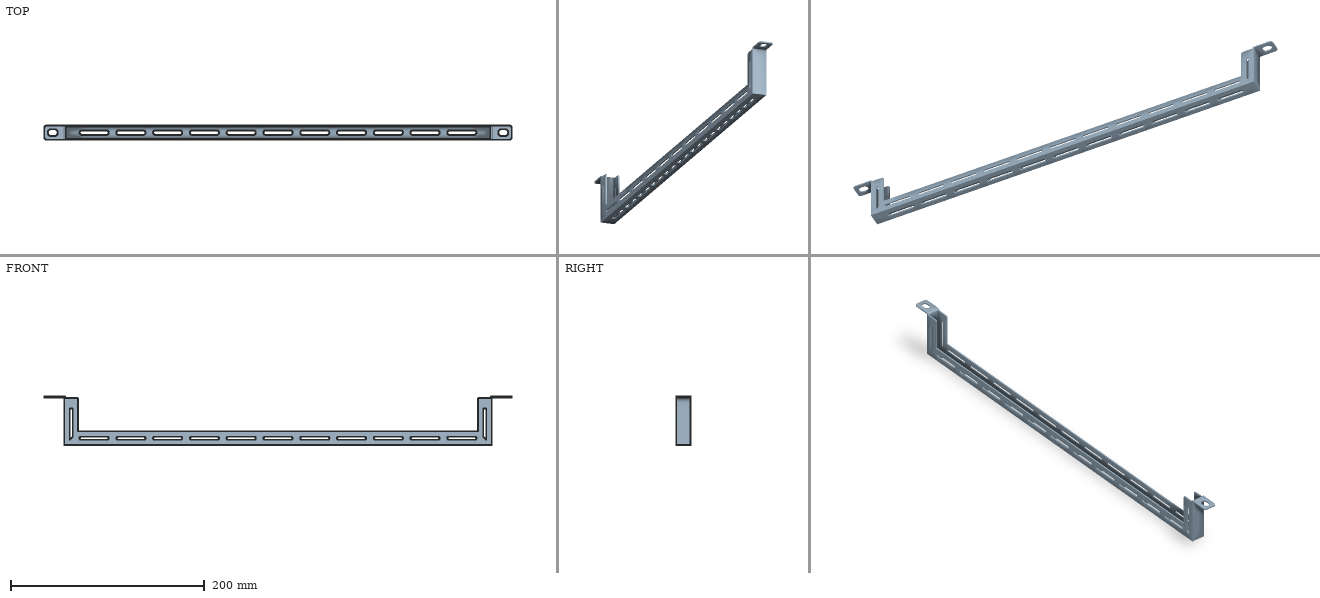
import cadquery as cq
import math

total_length = 483.0
total_height = 50.5
channel_width = 15.0
sheet = 1.5

frame_length = 441.5
channel_depth = 14.5
bend_radius = 0.5
flange_drop = 2.0
flange_corner_radius = 1.5

slot_count = 11
slot_row_span = 379.5
slot_length = 30.0
side_slot_width = 3.0
floor_slot_width = 4.5
upright_slot_top = 38.0
upright_slot_length = 34.0

tab_corner_radius = 3.0
tab_hole_spacing = 465.0
tab_hole_length = 10.0
tab_hole_width = 7.0

slot_pitch = slot_row_span / (slot_count - 1)
side_slot_offset = channel_depth / 2
half_frame = frame_length / 2
half_total = total_length / 2
inner_width = channel_width - 2 * sheet
inner_half = half_frame - channel_depth
flange_top = total_height - flange_drop
bend_outer_radius = bend_radius + sheet
bend_bottom = total_height - bend_outer_radius
ends = (-1, 1)
diagonal = math.sqrt(0.5)


def block(x_min, x_max, z_min, z_max, width):
    """Box between two X and two Z limits, centred on the XZ plane."""
    size_x = x_max - x_min
    size_z = z_max - z_min
    return cq.Workplane("XY").box(size_x, width, size_z).translate(
        ((x_min + x_max) / 2, 0, (z_min + z_max) / 2)
    )


def make_channel():
    """Side flanges, floor and end webs as one hollowed U-shaped frame."""
    outline = block(-half_frame, half_frame, 0, flange_top, channel_width)
    opening = block(-inner_half, inner_half, channel_depth, total_height, 2 * channel_width)
    frame = outline.cut(opening)
    for end in ends:
        frame = frame.edges(
            cq.selectors.NearestToPointSelector((end * inner_half, 0, flange_top))
        ).fillet(flange_corner_radius)
    cavity = block(-half_frame + sheet, half_frame - sheet, sheet, total_height, inner_width)
    frame = frame.cut(cavity)
    for end in ends:
        web_limits = sorted((end * half_frame, end * (half_frame - sheet)))
        frame = frame.cut(block(*web_limits, bend_bottom, total_height, inner_width))
    return frame


def make_tab(end):
    """Top tab bent outwards from the end web."""
    web = end * half_frame
    inner_face = web - end * sheet
    bend_x = web + end * bend_radius
    profile = (
        cq.Workplane("XZ", origin=(0, channel_width / 2, 0))
        .moveTo(web, bend_bottom)
        .threePointArc(
            (bend_x - end * bend_radius * diagonal, bend_bottom + bend_radius * diagonal),
            (bend_x, bend_bottom + bend_radius),
        )
        .lineTo(end * half_total, total_height - sheet)
        .lineTo(end * half_total, total_height)
        .lineTo(bend_x, total_height)
        .threePointArc(
            (bend_x - end * bend_outer_radius * diagonal, bend_bottom + bend_outer_radius * diagonal),
            (inner_face, bend_bottom),
        )
        .close()
    )
    tab = profile.extrude(channel_width)
    tip = ">X" if end > 0 else "<X"
    return tab.faces(tip).edges("|Z").fillet(tab_corner_radius)


def make_slots(plane, centres, length, width, depth, angle=0):
    """Round-ended slot cutters reaching the given depth to both sides of a plane."""
    return cq.Workplane(plane).pushPoints(centres).slot2D(length, width, angle).extrude(depth, both=True)


def make_upright_slots():
    """Vertical slots that run down to the mitre between upright and beam."""
    slot_x = half_frame - side_slot_offset
    slot_z = upright_slot_top - upright_slot_length / 2
    centres = [(end * slot_x, slot_z) for end in ends]
    slots = make_slots("XZ", centres, upright_slot_length, side_slot_width, channel_width, 90)
    mitred_beam = (
        cq.Workplane("XZ")
        .moveTo(-half_frame, 0)
        .lineTo(half_frame, 0)
        .lineTo(inner_half, channel_depth)
        .lineTo(-inner_half, channel_depth)
        .close()
        .extrude(channel_width, both=True)
    )
    return slots.cut(mitred_beam)


def make_tab_holes():
    """Oblong screw holes through both mounting tabs."""
    return (
        cq.Workplane("XY", origin=(0, 0, total_height))
        .pushPoints([(end * tab_hole_spacing / 2, 0) for end in ends])
        .slot2D(tab_hole_length, tab_hole_width)
        .extrude(-sheet)
    )


row_positions = [i * slot_pitch - slot_row_span / 2 for i in range(slot_count)]
floor_centres = [(x, 0) for x in row_positions]
flange_centres = [(x, side_slot_offset) for x in row_positions]

result = make_channel()
for end in ends:
    result = result.union(make_tab(end))
result = result.cut(make_slots("XY", floor_centres, slot_length, floor_slot_width, sheet))
result = result.cut(make_slots("XZ", flange_centres, slot_length, side_slot_width, channel_width))
result = result.cut(make_upright_slots())
result = result.cut(make_tab_holes())